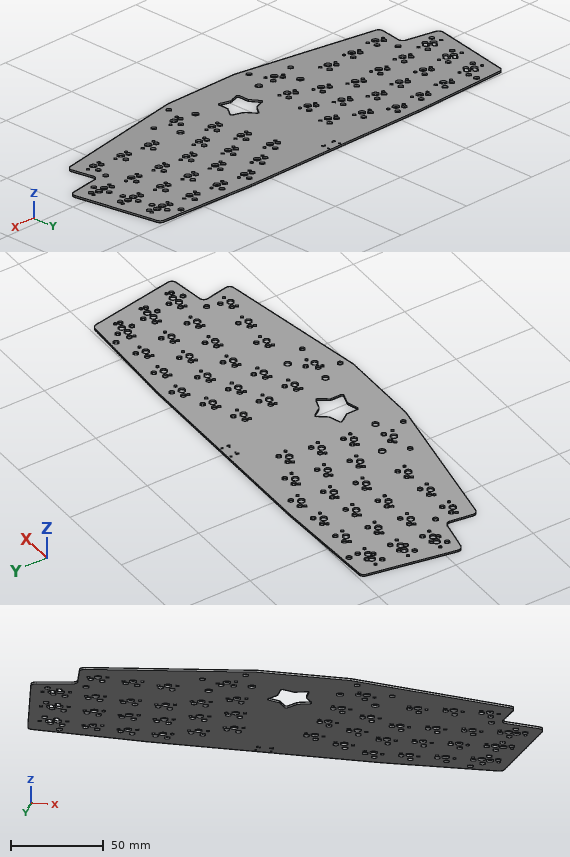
import cadquery as cq
import math

LEFT, RIGHT = -1, 1

MIRROR_X = -0.45
CONNECTOR_X = -0.87

THICKNESS = 1.2
HALF_DEPTH = 50.795
CORNER_RADIUS = 3.0
CORNER_ZONE_X = 100.0

TOP_KINK = (64.0, HALF_DEPTH)
BOTTOM_KINK = (25.5, -HALF_DEPTH)
LEFT_CORNERS = [(-131.1, 48.15), (-141.89, -10.1), (-117.4, -15.1), (-120.2, -34.2)]
RIGHT_CORNERS = [(130.8, 47.83), (141.19, -10.4), (116.2, -14.1), (120.1, -33.65)]

KEY_PITCH = 19.05
STEM_DIAMETER = 3.99
PEG_DIAMETER = 1.75
PEG_OFFSET = 5.08
PIN_DIAMETER = 3.0
PIN_POINTS = [(-3.81, 2.54), (2.54, 5.08)]

TILT = 10.0
INNER_COLUMN = 25.88
COLUMN_STAGGER = KEY_PITCH / 4
COLUMN_STEPS = [0, 1, 2, 1, 0, -1]
FIRST_ROW = 18.72
FIELD_ROWS = 3
BOTTOM_ROW_GAP = 24.9
BOTTOM_ROW_SHIFT = {LEFT: 0.28, RIGHT: 0.0}
BOTTOM_ROW_COLUMNS = [2, 3, 4]
OUTER_COLUMN = len(COLUMN_STEPS) - 1
WIDE_KEY_SHIFT = KEY_PITCH / 4

THUMB_OFFSET = 38.6
THUMB_Y = -33.93
THUMB_TILT = 25.0
STABILISER_HALF_SPAN = 11.938
STABILISER_SMALL = (3.05, -7.0)
STABILISER_LARGE = (3.99, 8.24)

MOUNT_DIAMETER = 3.2
MOUNT_POINTS = [(-114.2, 45.1), (112.35, 45.1), (-112.0, -12.3), (111.4, -12.9)]

SLOT_WIDTH = 0.6
SLOT_HALF_SPAN = 4.32
FRONT_SLOT = (1.2, 49.0)
REAR_SLOT = (1.7, 44.8)
LOCATING_HOLE_DIAMETER = 0.65
LOCATING_HOLE_HALF_SPAN = 2.89
LOCATING_HOLE_Y = 45.15

STAR_CENTRE = (CONNECTOR_X, -20.98)
STAR_TIP_COUNT = 5
STAR_TIP_RADIUS = 13.3
STAR_NOTCH_RADIUS = 8.3
STAR_TIP_ROUNDING = 1.0


def placed(point, origin, degrees):
    """Map a point from a frame turned by degrees at origin to the plate."""
    angle = math.radians(degrees)
    x, y = point
    return (
        origin[0] + x * math.cos(angle) - y * math.sin(angle),
        origin[1] + x * math.sin(angle) + y * math.cos(angle),
    )


def plate():
    def mirrored(point):
        return (-point[0], point[1])

    outline = [mirrored(TOP_KINK), *LEFT_CORNERS, mirrored(BOTTOM_KINK)]
    outline += [BOTTOM_KINK, *reversed(RIGHT_CORNERS), TOP_KINK]
    body = cq.Workplane("XY").polyline(outline).close().extrude(THICKNESS)
    for near, far in ((-2, -1), (1, 2)):
        zone = cq.selectors.BoxSelector(
            (near * CORNER_ZONE_X, -HALF_DEPTH, 0),
            (far * CORNER_ZONE_X, HALF_DEPTH, THICKNESS),
        )
        body = body.edges("|Z").edges(zone).fillet(CORNER_RADIUS)
    return body


def cylinders(diameter, points):
    return cq.Workplane("XY").pushPoints(points).circle(diameter / 2).extrude(THICKNESS)


def thumb_centre(side):
    return (MIRROR_X + side * THUMB_OFFSET, THUMB_Y)


def key_places():
    """Centre and turn of every switch footprint."""
    places = []
    for side in (LEFT, RIGHT):
        tilt = side * TILT
        axis = (MIRROR_X, 0)
        for column, steps in enumerate(COLUMN_STEPS):
            across = side * (INNER_COLUMN + column * KEY_PITCH)
            top = FIRST_ROW + steps * COLUMN_STAGGER
            for row in range(FIELD_ROWS):
                along = top - row * KEY_PITCH
                places.append((placed((across, along), axis, tilt), tilt))
                if column == OUTER_COLUMN:
                    shifted = (across + side * WIDE_KEY_SHIFT, along)
                    places.append((placed(shifted, axis, tilt), tilt + 180))
            if column in BOTTOM_ROW_COLUMNS:
                along -= BOTTOM_ROW_GAP
                shifted = (across + BOTTOM_ROW_SHIFT[side], along)
                places.append((placed(shifted, axis, tilt), tilt))
        places.append((thumb_centre(side), side * THUMB_TILT))
    return places


def cut_switch_footprints(body):
    stems, pegs, pins = [], [], []
    for centre, turn in key_places():
        stems.append(centre)
        pegs += [placed((x, 0), centre, turn) for x in (-PEG_OFFSET, PEG_OFFSET)]
        pins += [placed(point, centre, turn) for point in PIN_POINTS]
    for diameter, points in ((STEM_DIAMETER, stems), (PEG_DIAMETER, pegs), (PIN_DIAMETER, pins)):
        body = body.cut(cylinders(diameter, points))
    return body


def cut_stabilisers(body):
    for side in (LEFT, RIGHT):
        centre = thumb_centre(side)
        for diameter, offset in (STABILISER_SMALL, STABILISER_LARGE):
            points = [
                placed((x, offset), centre, side * THUMB_TILT)
                for x in (-STABILISER_HALF_SPAN, STABILISER_HALF_SPAN)
            ]
            body = body.cut(cylinders(diameter, points))
    return body


def cut_connector(body):
    for length, y in (FRONT_SLOT, REAR_SLOT):
        points = [(CONNECTOR_X + side * SLOT_HALF_SPAN, y) for side in (LEFT, RIGHT)]
        slots = cq.Workplane("XY").pushPoints(points).slot2D(length, SLOT_WIDTH, 90)
        body = body.cut(slots.extrude(THICKNESS))
    points = [
        (CONNECTOR_X + side * LOCATING_HOLE_HALF_SPAN, LOCATING_HOLE_Y) for side in (LEFT, RIGHT)
    ]
    return body.cut(cylinders(LOCATING_HOLE_DIAMETER, points))


def star_window():
    spacing = 360 / STAR_TIP_COUNT
    tips = []
    outline = []
    for i in range(STAR_TIP_COUNT):
        tip = placed((0, STAR_TIP_RADIUS), STAR_CENTRE, i * spacing)
        notch = placed((0, STAR_NOTCH_RADIUS), STAR_CENTRE, (i + 0.5) * spacing)
        tips.append(tip)
        outline += [tip, notch]
    star = cq.Workplane("XY").polyline(outline).close().extrude(THICKNESS)
    for x, y in tips:
        star = star.edges(cq.selectors.NearestToPointSelector((x, y, THICKNESS / 2)))
        star = star.fillet(STAR_TIP_ROUNDING)
    return star


result = plate()
result = cut_switch_footprints(result)
result = cut_stabilisers(result)
result = cut_connector(result)
result = result.cut(cylinders(MOUNT_DIAMETER, MOUNT_POINTS))
result = result.cut(star_window())